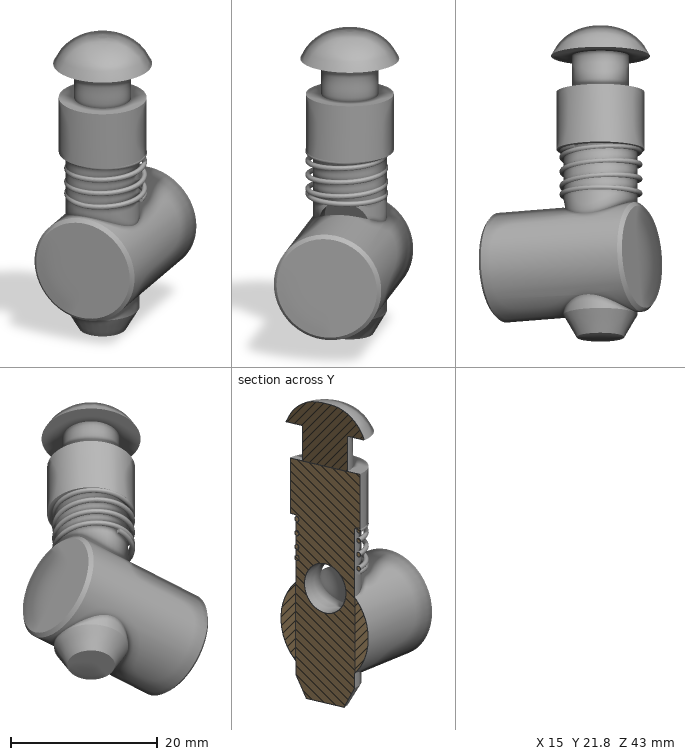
import cadquery as cq


pin_radius = 5.05
tip_radius = 3.25
tip_height = 3.1
collar_radius = 6.0
collar_bottom = 26.0
collar_top = 34.0

cross_hole_radius = 3.5
cross_hole_height = 16.45

stem_radius = 3.9
stem_length = 5.0
head_radius = 6.75
head_height = 4.0
head_flat_radius = 0.75

barrel_radius = 7.5
barrel_front = -6.2
barrel_back = 15.0
barrel_axis_x = -0.1
barrel_axis_height = 10.7
barrel_chamfer = 0.5

wire_radius = 0.35
coil_radius = 5.3
coil_axis_x = 0.4
coil_axis_y = 0.1
coil_pitch = 2.0
coil_turns = 3
top_coil_gap = 0.14
coil_top = collar_bottom - top_coil_gap
coil_bottom = coil_top - coil_turns * coil_pitch
flat_end_angle = 261.0
coil_start_angle = -99.0


def make_spring():
    """Sweep the helix and both flat ends, and join them into one solid."""
    helix = cq.Wire.makeHelix(coil_pitch, coil_turns * coil_pitch, coil_radius)
    spring = (
        cq.Workplane("XZ")
        .center(coil_radius, 0)
        .circle(wire_radius)
        .sweep(cq.Workplane(obj=helix), isFrenet=True)
    )
    flat_end = (
        cq.Workplane("XZ")
        .center(coil_radius, 0)
        .circle(wire_radius)
        .revolve(flat_end_angle, (-coil_radius, 0), (-coil_radius, 1))
    )
    top_end = flat_end.translate((0, 0, coil_turns * coil_pitch))
    bottom_end = flat_end.mirror("XZ")
    spring = spring.union(top_end).union(bottom_end)
    spring = spring.rotate((0, 0, 0), (0, 0, 1), coil_start_angle)
    return spring.translate((coil_axis_x, coil_axis_y, coil_bottom))


def make_pin(spring):
    """Turned pin with a collar, a cross hole and the groove the spring lies in."""
    shaft = (
        cq.Workplane("XZ")
        .moveTo(0, 0)
        .lineTo(tip_radius, 0)
        .lineTo(pin_radius, tip_height)
        .lineTo(pin_radius, collar_bottom)
        .lineTo(collar_radius, collar_bottom)
        .lineTo(collar_radius, collar_top)
        .lineTo(0, collar_top)
        .close()
        .revolve(360, (0, 0), (0, 1))
    )
    cross_hole = (
        cq.Workplane("XZ")
        .center(0, cross_hole_height)
        .circle(cross_hole_radius)
        .extrude(-pin_radius)
    )
    return shaft.cut(cross_hole).cut(spring)


def make_button():
    """Domed head on a stem that stands on top of the collar."""
    head_bottom = collar_top + stem_length
    head_top = head_bottom + head_height
    arc_width = head_radius - head_flat_radius
    dome_radius = (arc_width**2 + head_height**2) / (2 * head_height)
    return (
        cq.Workplane("XZ")
        .moveTo(0, collar_top)
        .lineTo(stem_radius, collar_top)
        .lineTo(stem_radius, head_bottom)
        .lineTo(head_radius, head_bottom)
        .radiusArc((head_flat_radius, head_top), -dome_radius)
        .lineTo(0, head_top)
        .close()
        .revolve(360, (0, 0), (0, 1))
    )


def make_barrel():
    """Cross barrel with chamfered ends and a through hole for the pin."""
    barrel = (
        cq.Workplane("XZ", origin=(barrel_axis_x, barrel_front, barrel_axis_height))
        .circle(barrel_radius)
        .extrude(barrel_front - barrel_back)
        .faces("<Y or >Y")
        .chamfer(barrel_chamfer)
    )
    pin_hole = cq.Workplane("XY").circle(pin_radius).extrude(collar_bottom)
    return barrel.cut(pin_hole)


spring = make_spring()
pin = make_pin(spring)
button = make_button()
barrel = make_barrel()

result = cq.Compound.makeCompound([barrel.val(), pin.val(), button.val(), spring.val()])